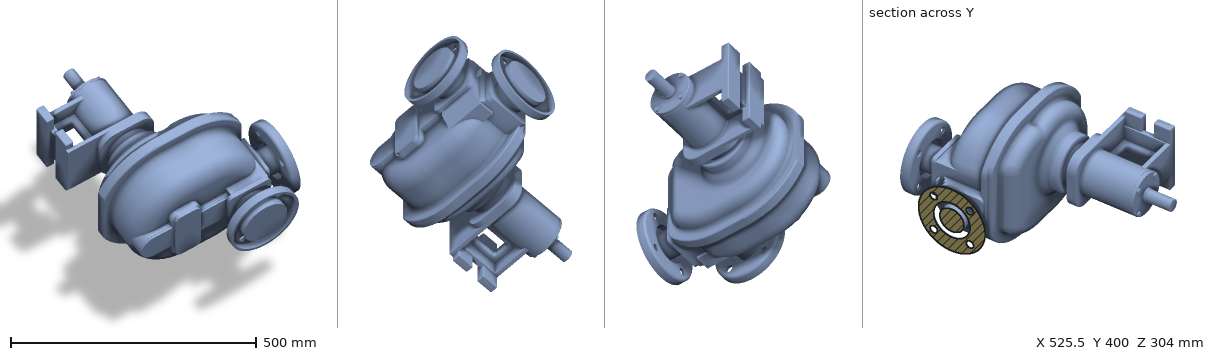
import cadquery as cq
import math


SHAFT_RADIUS = 14.0
SHAFT_COLLAR_RADIUS = 15.5
SHAFT_COLLAR_START = 59.0
COVER_START = 65.0
COVER_GROOVE_START = 71.5
COVER_GROOVE_END = 74.0
COVER_GROOVE_DEPTH = 0.7
HOUSING_RADIUS = 50.0
HOUSING_EDGE = 1.0
HOUSING_END = 194.5
HOUSING_FLARE = 2.5
COVER_BOLT_RADIUS = 5.5
COVER_BOLT_HEAD = 4.5
COVER_BOLT_OFFSET = 30.4

ADAPTER_END = 217.5
ADAPTER_HALF = 65.0
ADAPTER_CORNER = 35.0
BRACKET_EDGE = 2.5
NECK_RADIUS = 49.0
NECK_END = 238.0
RING_RADIUS = 65.0
RING_END = 262.0
RING_EDGE = 5.0
RING_BLEND = 7.0
CONE_BLEND = 12.0

FOOT_BASE_Y = -136.0
FOOT_HEIGHT = 19.0
FOOT_HALF_WIDTH = 80.0
FOOT_EDGE = 2.5
FRONT_FOOT_START = 84.0
FRONT_FOOT_END = 125.0
REAR_FOOT_START = 154.5
REAR_FOOT_END = 195.5
FRONT_PLATE_THICKNESS = 11.0
FRONT_PLATE_HALF_WIDTH = 43.0
FRONT_PLATE_TOP_Y = -20.0
REAR_PLATE_END = 204.0
BRIDGE_BOTTOM_Y = -126.0
BRIDGE_TOP_Y = -114.0
WEB_THICKNESS = 16.0
WINDOW_START = 108.5
WINDOW_END = 179.7
WINDOW_TOP_Y = -65.0
WINDOW_BOTTOM_Y = -101.0
WINDOW_CORNER = 5.0
WINDOW_EDGE = 5.5

CASING_Z = -10.0
CASING_RADIUS = 125.7
VOLUTE_Y = 3.5
CHAMBER_Y = 70.0
CASING_FRONT = 278.0
FRONT_ROUND = 22.5
FRONT_SIDE_Y = 166.0
SIDE_CORNER = 32.0
NOTCH_LOBE_RADIUS = 30.0
NOTCH_VALLEY_RADIUS = 12.0
FLANGE_START = 314.0
FLANGE_SPLIT = 325.0
FLANGE_END = 338.5
FLANGE_RADIUS = 152.0
FLANGE_VOLUTE_Y = 0.0
FLANGE_BOTTOM_Y = -136.0
FRONT_FLANGE_SIDE_Y = 194.5
REAR_FLANGE_SIDE_Y = 200.0
FLANGE_EDGE = 3.0
FLANGE_BLEND = 7.5
CASING_REAR = 437.0
REAR_ROUND = 36.0
REAR_SIDE_Y = 185.0
REAR_SIDE_CORNER = 40.0

RIDGE_START = 395.0
RIDGE_STEP = 446.5
RIDGE_END = 451.0
RIDGE_STEP_WIDTH = 1.0
RIDGE_HALF_WIDTH = 32.0
RIDGE_LOW_Y = -88.0
RIDGE_HIGH_Y = 110.0
TAB_THICKNESS = 3.5
TAB_WIDTH = 20.0
TAB_ROOT = 5.0
TAB_TOP_Y = 198.0
PAD_END = 458.5
PAD_Y = -9.5
PAD_WIDTH = 60.0
PAD_LENGTH = 129.0
PAD_CORNER = 13.0
PAD_BASE_MARGIN = 5.0
PAD_BASE_CORNER = 16.0

PORT_PLATE = 100.0
PORT_PLATE_CORNER = 10.0
PORT_PLATE_THICKNESS = 9.5
PORT_RING_RADIUS = 37.0
PORT_RING_HEIGHT = 8.0
PORT_TAPER_HEIGHT = 5.5
PIPE_RADIUS = 30.0
PIPE_FLANGE_RADIUS = 82.5
PIPE_FLANGE_THICKNESS = 21.5
PIPE_FLANGE_EDGE = 6.0
PIPE_FLANGE_WALL = 6.0
PIPE_FLANGE_BORE = 44.0
RAISED_FACE_THICKNESS = 9.5
RAISED_FACE_RADIUS = 52.0
RAISED_FACE_HEIGHT = 2.5
PIPE_BOLT_CIRCLE = 125.0
PIPE_BOLT_HOLE = 17.0
PIPE_BOLT_COUNT = 4
SUCTION_PLATE_X = 458.5
SUCTION_FACE_X = 525.5
SUCTION_Y = 135.0
SUCTION_BLOCK_START = 401.0
SUCTION_BLOCK_LOW_Y = 96.0
SUCTION_BLOCK_TOP_Z = 36.0
SUCTION_BLOCK_BOTTOM_Z = -101.0
SUCTION_BLOCK_BEVEL_Z = -72.0
DISCHARGE_X = 380.0
DISCHARGE_Z = -43.0
DISCHARGE_PLATE_Y = 198.5
DISCHARGE_FACE_Y = 264.0
DISCHARGE_BLOCK_DEPTH = 60.0
DISCHARGE_BEVEL = 7.5


def box(x_range, y_range, z_range):
    """Box between the given X, Y and Z limits."""
    size = [high - low for low, high in (x_range, y_range, z_range)]
    corner = (x_range[0], y_range[0], z_range[0])
    return cq.Workplane("XY").box(*size, centered=False).translate(corner)


def disc(start, end, radius):
    """Cylinder on the shaft axis from X = start to X = end."""
    return cq.Workplane("YZ", origin=(start, 0, 0)).circle(radius).extrude(end - start)


def shaft_and_housing():
    shaft = disc(0, COVER_START, SHAFT_RADIUS)
    collar = disc(SHAFT_COLLAR_START, COVER_START, SHAFT_COLLAR_RADIUS)
    housing = disc(COVER_START, HOUSING_END, HOUSING_RADIUS).faces("<X").chamfer(HOUSING_EDGE)
    flare = (
        cq.Workplane("YZ", origin=(HOUSING_END - HOUSING_FLARE, 0, 0))
        .circle(HOUSING_RADIUS)
        .workplane(offset=HOUSING_FLARE)
        .circle(HOUSING_RADIUS + HOUSING_FLARE)
        .loft()
    )
    groove_core = disc(COVER_GROOVE_START, COVER_GROOVE_END, HOUSING_RADIUS - COVER_GROOVE_DEPTH)
    groove = disc(COVER_GROOVE_START, COVER_GROOVE_END, HOUSING_RADIUS + 1).cut(groove_core)
    bolts = (
        cq.Workplane("YZ", origin=(COVER_START, 0, 0))
        .rect(2 * COVER_BOLT_OFFSET, 2 * COVER_BOLT_OFFSET, forConstruction=True)
        .vertices()
        .circle(COVER_BOLT_RADIUS)
        .extrude(-COVER_BOLT_HEAD)
    )
    return housing.cut(groove).union(flare).union(shaft).union(collar).union(bolts)


def adapter_bracket():
    """Rounded square at the end of the housing, with a plate that reaches down to the foot."""
    side = 2 * ADAPTER_HALF
    square = (
        cq.Workplane("YZ", origin=(HOUSING_END, 0, 0))
        .rect(side, side)
        .extrude(ADAPTER_END - HOUSING_END)
        .edges("|X")
        .fillet(ADAPTER_CORNER)
    )
    plate = box((HOUSING_END, REAR_PLATE_END), (FOOT_BASE_Y, 0), (-ADAPTER_HALF, ADAPTER_HALF))
    bracket = square.union(plate, clean=True)
    return bracket.faces("<X").edges().fillet(BRACKET_EDGE)


def neck_and_cone():
    neck = disc(ADAPTER_END, NECK_END, NECK_RADIUS)
    ring = disc(NECK_END, RING_END, RING_RADIUS).faces("<X").edges().fillet(RING_EDGE)
    cone_length = CASING_FRONT - RING_END
    cone = (
        cq.Workplane("YZ", origin=(CASING_FRONT, 0, 0))
        .circle(RING_RADIUS + cone_length)
        .workplane(offset=-cone_length)
        .circle(RING_RADIUS)
        .loft()
    )
    joint_half = RING_RADIUS + 1
    joint = cq.selectors.BoxSelector(
        (RING_END - 1, -joint_half, -joint_half),
        (RING_END + 1, joint_half, joint_half),
        boundingbox=True,
    )
    body = ring.union(cone).edges(joint).fillet(RING_BLEND)
    return neck.union(body)


def support_foot():
    foot_top_y = FOOT_BASE_Y + FOOT_HEIGHT
    foot_y = (FOOT_BASE_Y, foot_top_y)
    foot_z = (-FOOT_HALF_WIDTH, FOOT_HALF_WIDTH)
    front_foot = box((FRONT_FOOT_START, FRONT_FOOT_END), foot_y, foot_z).edges().fillet(FOOT_EDGE)
    rear_foot = box((REAR_FOOT_START, REAR_FOOT_END), foot_y, foot_z).edges().fillet(FOOT_EDGE)

    plate_z = (-FRONT_PLATE_HALF_WIDTH, FRONT_PLATE_HALF_WIDTH)
    front_plate_x = (FRONT_FOOT_START, FRONT_FOOT_START + FRONT_PLATE_THICKNESS)
    front_plate = box(front_plate_x, (FOOT_BASE_Y + FOOT_EDGE, FRONT_PLATE_TOP_Y), plate_z)
    front_plate = front_plate.faces(">Y or >Z or <Z").edges("not(<Y)").fillet(FOOT_EDGE)
    heel_x = (REAR_FOOT_START + FOOT_EDGE, REAR_PLATE_END)
    heel = box(heel_x, foot_y, (-ADAPTER_HALF, ADAPTER_HALF))
    bridge = box((FRONT_FOOT_START + FOOT_EDGE, HOUSING_END), (BRIDGE_BOTTOM_Y, BRIDGE_TOP_Y), plate_z)

    web_z = (-WEB_THICKNESS / 2, WEB_THICKNESS / 2)
    web = box((front_plate_x[0], HOUSING_END), (BRIDGE_TOP_Y, 0), web_z)
    window = box((WINDOW_START, WINDOW_END), (WINDOW_BOTTOM_Y, WINDOW_TOP_Y), web_z)
    web = web.cut(window.edges("|Z").fillet(WINDOW_CORNER))
    rim = cq.selectors.BoxSelector(
        (WINDOW_START - 1, WINDOW_BOTTOM_Y - 1, -WEB_THICKNESS),
        (WINDOW_END + 1, WINDOW_TOP_Y + 1, WEB_THICKNESS),
    )
    web = web.edges(rim).edges("#Z").fillet(WINDOW_EDGE)

    foot = front_foot.union(rear_foot).union(front_plate).union(heel)
    return foot.union(bridge).union(web)


def rounded_hull(start, end, radius, volute_y):
    """Prism along X whose outline wraps two equal circles, at volute_y and at CHAMBER_Y."""
    length = CHAMBER_Y - volute_y + 2 * radius
    center_y = (CHAMBER_Y + volute_y) / 2
    plane = cq.Workplane("YZ", origin=(start, center_y, CASING_Z))
    return plane.slot2D(length, 2 * radius).extrude(end - start)


def keep_below_y(body, side_y, corner):
    """Flatten the +Y side of a casing prism at side_y and round the two corners this leaves."""
    bounds = body.val().BoundingBox()
    margin = 1.0
    cutter = box(
        (bounds.xmin - margin, bounds.xmax + margin),
        (side_y, bounds.ymax + margin),
        (bounds.zmin - margin, bounds.zmax + margin),
    )
    return body.cut(cutter).faces(">Y").edges("|X").fillet(corner)


def notched_prism(start, end):
    """Casing prism with the notch on top where the volute arc meets the chamber arc."""
    top_z = CASING_Z + CASING_RADIUS
    bottom_z = CASING_Z - CASING_RADIUS
    lobe_z = top_z - NOTCH_LOBE_RADIUS

    to_volute = CASING_RADIUS + NOTCH_VALLEY_RADIUS
    to_lobe = NOTCH_LOBE_RADIUS + NOTCH_VALLEY_RADIUS
    step_y = CHAMBER_Y - VOLUTE_Y
    step_z = lobe_z - CASING_Z
    span = math.hypot(step_y, step_z)
    along = (span**2 + to_volute**2 - to_lobe**2) / (2 * span)
    valley_angle = math.atan2(step_z, step_y) + math.acos(along / to_volute)
    valley_y = VOLUTE_Y + to_volute * math.cos(valley_angle)
    valley_z = CASING_Z + to_volute * math.sin(valley_angle)

    volute_touch = (
        VOLUTE_Y + CASING_RADIUS * math.cos(valley_angle),
        CASING_Z + CASING_RADIUS * math.sin(valley_angle),
    )
    lobe_share = NOTCH_LOBE_RADIUS / to_lobe
    lobe_touch = (
        CHAMBER_Y + (valley_y - CHAMBER_Y) * lobe_share,
        lobe_z + (valley_z - lobe_z) * lobe_share,
    )
    outline = (
        cq.Workplane("YZ", origin=(start, 0, 0))
        .moveTo(CHAMBER_Y, bottom_z)
        .threePointArc((CHAMBER_Y + CASING_RADIUS, CASING_Z), (CHAMBER_Y, top_z))
        .tangentArcPoint(lobe_touch, relative=False)
        .tangentArcPoint(volute_touch, relative=False)
        .threePointArc((VOLUTE_Y - CASING_RADIUS, CASING_Z), (VOLUTE_Y, bottom_z))
        .close()
    )
    return outline.extrude(end - start)


def flange_half(start, end, side_y, outer_face):
    """Half of the casing flange with a rounded outer face and a flat cut across its -Y side."""
    flange = rounded_hull(start, end, FLANGE_RADIUS, FLANGE_VOLUTE_Y)
    flange = keep_below_y(flange, side_y, SIDE_CORNER)
    flange = flange.faces(outer_face).edges().fillet(FLANGE_EDGE)
    trim = box(
        (start, end),
        (FLANGE_BOTTOM_Y - FLANGE_RADIUS, FLANGE_BOTTOM_Y),
        (CASING_Z - FLANGE_RADIUS, CASING_Z + FLANGE_RADIUS),
    )
    return flange.cut(trim)


def blend_to_flange(body, face_x):
    """Fillet the root where a casing half meets the flange face at X = face_x."""
    margin = 1.0
    root = cq.selectors.BoxSelector(
        (face_x - margin, VOLUTE_Y - CASING_RADIUS - margin, CASING_Z - CASING_RADIUS - margin),
        (face_x + margin, REAR_SIDE_Y + margin, CASING_Z + CASING_RADIUS + margin),
        boundingbox=True,
    )
    return body.edges(root).fillet(FLANGE_BLEND)


def casing():
    front = keep_below_y(notched_prism(CASING_FRONT, FLANGE_START), FRONT_SIDE_Y, SIDE_CORNER)
    front = front.faces("<X").edges().fillet(FRONT_ROUND)
    rear = rounded_hull(FLANGE_END, CASING_REAR, CASING_RADIUS, VOLUTE_Y)
    rear = keep_below_y(rear, REAR_SIDE_Y, REAR_SIDE_CORNER)
    rear = rear.faces(">X").edges().fillet(REAR_ROUND)

    front_flange = flange_half(FLANGE_START, FLANGE_SPLIT, FRONT_FLANGE_SIDE_Y, "<X")
    rear_flange = flange_half(FLANGE_SPLIT, FLANGE_END, REAR_FLANGE_SIDE_Y, ">X")
    front = blend_to_flange(front.union(front_flange), FLANGE_START)
    rear = blend_to_flange(rear.union(rear_flange), FLANGE_END)

    cone_foot = RING_RADIUS + CASING_FRONT - RING_END + 1
    cone_root = cq.selectors.BoxSelector(
        (CASING_FRONT - 1, -cone_foot, -cone_foot),
        (CASING_FRONT + 1, cone_foot, cone_foot),
        boundingbox=True,
    )
    front = front.union(neck_and_cone()).edges(cone_root).fillet(CONE_BLEND)
    return front.union(rear)


def rear_ridge():
    length = RIDGE_HIGH_Y - RIDGE_LOW_Y + 2 * RIDGE_HALF_WIDTH
    base = cq.Workplane("YZ", origin=(RIDGE_START, (RIDGE_LOW_Y + RIDGE_HIGH_Y) / 2, CASING_Z))
    ridge = base.slot2D(length, 2 * RIDGE_HALF_WIDTH).extrude(RIDGE_STEP - RIDGE_START)
    cap = base.slot2D(length - 2 * RIDGE_STEP_WIDTH, 2 * (RIDGE_HALF_WIDTH - RIDGE_STEP_WIDTH))
    return ridge.union(cap.extrude(RIDGE_END - RIDGE_START))


def gasket_tab():
    """Thin tab that stands out on the +Y side beside the suction port."""
    tab_z = (CASING_Z - TAB_WIDTH / 2, CASING_Z + TAB_WIDTH / 2)
    tab_x = (RIDGE_STEP, RIDGE_STEP + TAB_THICKNESS)
    return box(tab_x, (REAR_SIDE_Y - TAB_ROOT, TAB_TOP_Y), tab_z)


def clean_out_pad():
    base = (
        cq.Workplane("YZ", origin=(CASING_REAR - 1, PAD_Y, CASING_Z))
        .rect(PAD_WIDTH + 2 * PAD_BASE_MARGIN, PAD_LENGTH)
        .extrude(RIDGE_END - CASING_REAR + 1)
        .edges("|X")
        .fillet(PAD_BASE_CORNER)
    )
    pad = (
        cq.Workplane("YZ", origin=(RIDGE_END, PAD_Y, CASING_Z))
        .rect(PAD_WIDTH, PAD_LENGTH)
        .extrude(PAD_END - RIDGE_END)
        .edges("|X")
        .fillet(PAD_CORNER)
    )
    return base.union(pad)


def pipe_flange(height):
    """Hollow flange around +Z: a cup open to the front, joined by a hub to the raised face disc."""
    cup_top = height - RAISED_FACE_HEIGHT
    cup_bottom = cup_top - PIPE_FLANGE_THICKNESS
    base = cq.Workplane("XY", origin=(0, 0, cup_bottom))
    cup = base.circle(PIPE_FLANGE_RADIUS).extrude(PIPE_FLANGE_THICKNESS)
    cup = cup.faces("<Z").edges().fillet(PIPE_FLANGE_EDGE)
    cavity = (
        base.workplane(offset=PIPE_FLANGE_WALL)
        .circle(PIPE_FLANGE_RADIUS - PIPE_FLANGE_WALL)
        .circle(RAISED_FACE_RADIUS)
        .extrude(PIPE_FLANGE_THICKNESS)
    )
    disc_bottom = height - RAISED_FACE_THICKNESS
    bore = base.circle(PIPE_FLANGE_BORE).extrude(disc_bottom - cup_bottom)
    holes = (
        base.polarArray(PIPE_BOLT_CIRCLE / 2, 180 / PIPE_BOLT_COUNT, 360, PIPE_BOLT_COUNT)
        .circle(PIPE_BOLT_HOLE / 2)
        .extrude(PIPE_FLANGE_WALL)
    )
    raised_face = (
        cq.Workplane("XY", origin=(0, 0, disc_bottom))
        .circle(RAISED_FACE_RADIUS)
        .extrude(RAISED_FACE_THICKNESS)
    )
    return cup.cut(cavity).cut(bore).cut(holes).union(raised_face)


def pipe_port(height):
    """Port along +Z: plate, ring, taper, pipe and flange, with the raised face at Z = height."""
    plate = (
        cq.Workplane("XY")
        .rect(PORT_PLATE, PORT_PLATE)
        .extrude(PORT_PLATE_THICKNESS)
        .edges("|Z")
        .fillet(PORT_PLATE_CORNER)
    )
    ring_top = PORT_PLATE_THICKNESS + PORT_RING_HEIGHT
    neck = (
        cq.Workplane("XZ")
        .polyline(
            [
                (0, 0),
                (PORT_RING_RADIUS, 0),
                (PORT_RING_RADIUS, ring_top),
                (PIPE_RADIUS, ring_top + PORT_TAPER_HEIGHT),
                (PIPE_RADIUS, height),
                (0, height),
            ]
        )
        .close()
        .revolve(360, (0, 0, 0), (0, 1, 0))
    )
    return plate.union(neck).union(pipe_flange(height))


def suction_port():
    port = pipe_port(SUCTION_FACE_X - SUCTION_PLATE_X).rotate((0, 0, 0), (0, 1, 0), 90)
    port = port.translate((SUCTION_PLATE_X, SUCTION_Y, CASING_Z))
    block = (
        cq.Workplane("XZ", origin=(0, REAR_SIDE_Y, 0))
        .polyline(
            [
                (SUCTION_BLOCK_START, SUCTION_BLOCK_TOP_Z),
                (SUCTION_PLATE_X, SUCTION_BLOCK_TOP_Z),
                (SUCTION_PLATE_X, SUCTION_BLOCK_BEVEL_Z),
                (CASING_REAR, SUCTION_BLOCK_BOTTOM_Z),
                (SUCTION_BLOCK_START, SUCTION_BLOCK_BOTTOM_Z),
            ]
        )
        .close()
        .extrude(REAR_SIDE_Y - SUCTION_BLOCK_LOW_Y)
    )
    return port.union(block)


def discharge_port():
    port = pipe_port(DISCHARGE_FACE_Y - DISCHARGE_PLATE_Y).rotate((0, 0, 0), (1, 0, 0), -90)
    port = port.translate((DISCHARGE_X, DISCHARGE_PLATE_Y, DISCHARGE_Z))
    block_end = DISCHARGE_X + PORT_PLATE / 2
    block_root_y = DISCHARGE_PLATE_Y - DISCHARGE_BLOCK_DEPTH
    block = (
        cq.Workplane("XY", origin=(0, 0, DISCHARGE_Z - PORT_PLATE / 2))
        .polyline(
            [
                (FLANGE_END, block_root_y),
                (FLANGE_END, DISCHARGE_PLATE_Y),
                (block_end, DISCHARGE_PLATE_Y),
                (block_end, REAR_SIDE_Y + DISCHARGE_BEVEL),
                (block_end + DISCHARGE_BEVEL, REAR_SIDE_Y),
                (block_end + DISCHARGE_BEVEL, block_root_y),
            ]
        )
        .close()
        .extrude(PORT_PLATE)
    )
    return port.union(block)


result = (
    casing()
    .union(adapter_bracket())
    .union(support_foot())
    .union(shaft_and_housing())
    .union(rear_ridge())
    .union(gasket_tab())
    .union(clean_out_pad())
    .union(suction_port())
    .union(discharge_port())
)